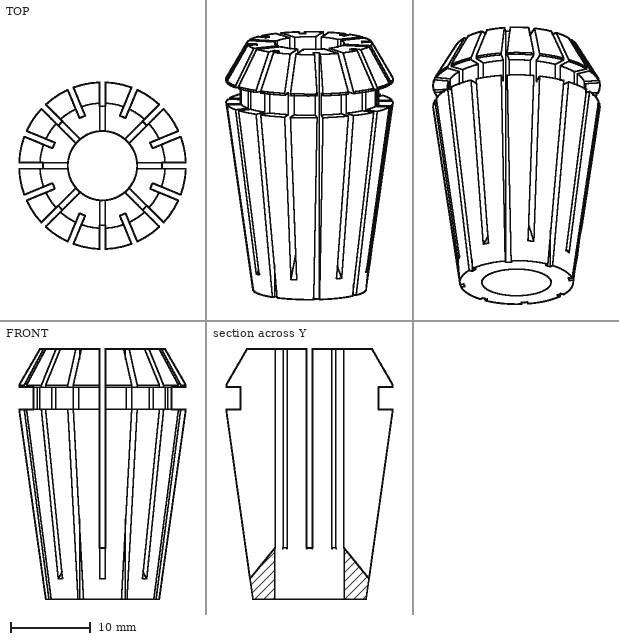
import cadquery as cq
import math

total_length = 31.5
max_radius = 10.5
bore_radius = 4.35
body_half_angle = 8.0
nose_half_angle = 30.0

groove_bottom_z = 23.9
groove_top_z = 26.7
rim_top_z = 26.95
groove_radius = 8.7

slot_width = 0.75
slot_count = 8
slot_pitch = 360.0 / slot_count
main_slot_inner_z = 6.5
main_slot_outer_z = 2.6
relief_slot_radius = 6.65
cut_margin = 1.0


def body_radius(z):
    """Outer radius of the lower taper at height z."""
    return max_radius - (groove_bottom_z - z) * math.tan(math.radians(body_half_angle))


def make_body():
    """Revolve the double-tapered, grooved sleeve around Z."""
    nose_length = total_length - rim_top_z
    nose_radius = max_radius - nose_length * math.tan(math.radians(nose_half_angle))
    profile = [
        (bore_radius, 0),
        (body_radius(0), 0),
        (max_radius, groove_bottom_z),
        (groove_radius, groove_bottom_z),
        (groove_radius, groove_top_z),
        (max_radius, groove_top_z),
        (max_radius, rim_top_z),
        (nose_radius, total_length),
        (bore_radius, total_length),
    ]
    return cq.Workplane("XZ").polyline(profile).close().revolve(360, (0, 0), (0, 1))


def make_main_slot():
    """Radial slot, open at the nose, whose floor is a conical surface rising towards the bore."""
    floor_slope = (main_slot_outer_z - main_slot_inner_z) / (body_radius(main_slot_outer_z) - bore_radius)
    start_radius = bore_radius - cut_margin
    end_radius = max_radius + cut_margin
    top_z = total_length + cut_margin
    section = [
        (start_radius, main_slot_inner_z - floor_slope * cut_margin),
        (end_radius, main_slot_inner_z + floor_slope * (end_radius - bore_radius)),
        (end_radius, top_z),
        (start_radius, top_z),
    ]
    ring = cq.Workplane("XZ").polyline(section).close().revolve(360, (0, 0), (0, 1))
    blade = cq.Workplane("XY").box(end_radius, slot_width, top_z, centered=(False, True, False))
    return ring.intersect(blade)


def make_relief_slot():
    """Shallow radial slot running the full length of the collet."""
    return (
        cq.Workplane("XY")
        .box(max_radius, slot_width, total_length, centered=(False, True, False))
        .translate((relief_slot_radius, 0, 0))
    )


def turn_about_axis(shape, angle):
    """Rotate a shape about the collet axis."""
    return shape.rotate((0, 0, 0), (0, 0, 1), angle)


result = make_body()
main_slot = make_main_slot()
relief_slot = make_relief_slot()
for index in range(slot_count):
    main_angle = index * slot_pitch
    relief_angle = main_angle + slot_pitch / 2
    result = result.cut(turn_about_axis(main_slot, main_angle))
    result = result.cut(turn_about_axis(relief_slot, relief_angle))